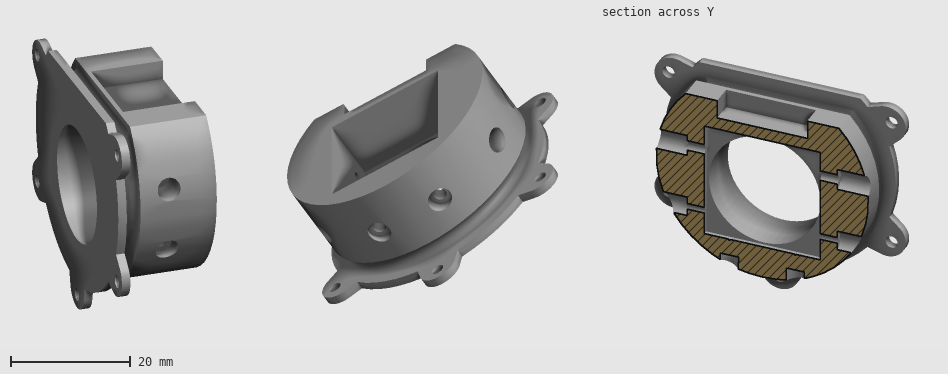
import cadquery as cq
import math

flange_radius = 21.0
flange_thickness = 1.5
flange_top = 15.07

neck_radius = 17.1
neck_top = 11.2
groove_width = 3.0
groove_fillet = 1.35

body_radius = 19.3
body_top = 13.4
total_depth = 18.0

overall_width = 45.7
ear_radius = 3.45
ear_flank_angle = 12.5
ear_angles = (30, 150, 210, 270, 330)
ear_end_center = (overall_width / 2 - ear_radius) / math.cos(math.radians(30))
ear_hole_circle = 23.45
ear_root = 18.25
small_hole_diameter = 2.2

notch_width = 16.35
notch_length = 12.7
notch_floor = 10.0

tilt_angle = 1.5
bore_center_z = -3.0
bore_diameter = 20.3
pocket_size = 21.0
pocket_start = 8.0
screw_depth = 9.8
screw_offset = 6.0
counterbore_diameter = 4.0
screw_seat = 13.7

body_start = flange_thickness + groove_width
body_length = total_depth - body_start
cut_length = 2 * total_depth
selection_margin = 0.05


def plane_xz(y):
    """Workplane at depth y with local x along X, local y along Z, extruding towards -Y."""
    return cq.Workplane("XZ", origin=(0, y, 0))


def flat_topped_disc(radius, top, start, length):
    """Disc around the Y axis with its upper side cut flat at height top."""
    disc = plane_xz(start).circle(radius).extrude(-length)
    height = radius + top
    limits = plane_xz(start).center(0, top - height / 2).rect(2 * radius, height).extrude(-length)
    return disc.intersect(limits)


def make_ear(angle):
    """Tapered ear with a round end and a hole, first drawn along +X and then turned to its angle."""
    lean = math.radians(ear_flank_angle)
    tangent_x = ear_end_center + ear_radius * math.sin(lean)
    tangent_z = ear_radius * math.cos(lean)
    root_z = tangent_z + (tangent_x - ear_root) * math.tan(lean)
    ear = (
        plane_xz(0)
        .moveTo(ear_root, -root_z)
        .lineTo(tangent_x, -tangent_z)
        .threePointArc((ear_end_center + ear_radius, 0), (tangent_x, tangent_z))
        .lineTo(ear_root, root_z)
        .close()
        .extrude(-flange_thickness)
    )
    hole = plane_xz(0).center(ear_hole_circle, 0).circle(small_hole_diameter / 2)
    ear = ear.cut(hole.extrude(-flange_thickness))
    return ear.rotate((0, 0, 0), (0, 1, 0), -angle)


def make_flange():
    flange = flat_topped_disc(flange_radius, flange_top, 0, flange_thickness)
    for angle in ear_angles:
        flange = flange.union(make_ear(angle))
    return flange


def make_notch():
    """Flat recess in the top of the body, open at the back."""
    height = flange_top - notch_floor
    notch = cq.Workplane("XY").box(notch_width, notch_length, height, centered=(True, False, False))
    return notch.translate((0, total_depth - notch_length, notch_floor))


def make_screw_hole(offset):
    """Counterbored hole along +X, starting at the tilted axis."""
    start = cq.Workplane("YZ").center(screw_depth, offset)
    hole = start.circle(small_hole_diameter / 2).extrude(cut_length)
    seat = cq.Workplane("YZ", origin=(screw_seat, 0, 0)).center(screw_depth, offset)
    return hole.union(seat.circle(counterbore_diameter / 2).extrude(cut_length))


def make_tilted_cavity():
    """Bore from the front, square pocket to the back, screw holes on both sides and below."""
    cavity = plane_xz(-total_depth).circle(bore_diameter / 2).extrude(-cut_length)
    pocket = plane_xz(pocket_start).rect(pocket_size, pocket_size).extrude(-cut_length)
    cavity = cavity.union(pocket)
    for side_angle in (0, 90, 180):
        for offset in (-screw_offset, screw_offset):
            hole = make_screw_hole(offset).rotate((0, 0, 0), (0, 1, 0), side_angle)
            cavity = cavity.union(hole)
    return cavity.rotate((0, 0, 0), (1, 0, 0), tilt_angle).translate((0, 0, bore_center_z))


def fillet_groove(solid):
    """Round the two inner corners where the neck meets the flange and the body."""
    reach = neck_radius + selection_margin
    neck_region = cq.selectors.BoxSelector(
        (-reach, flange_thickness - selection_margin, -reach),
        (reach, body_start + selection_margin, neck_top + selection_margin),
        boundingbox=True,
    )
    return solid.edges(neck_region).edges("not |Y").fillet(groove_fillet)


flange = make_flange()
neck = flat_topped_disc(neck_radius, neck_top, flange_thickness, groove_width)
body = flat_topped_disc(body_radius, body_top, body_start, body_length)
blank = fillet_groove(flange.union(neck).union(body))
result = blank.cut(make_notch()).cut(make_tilted_cavity())